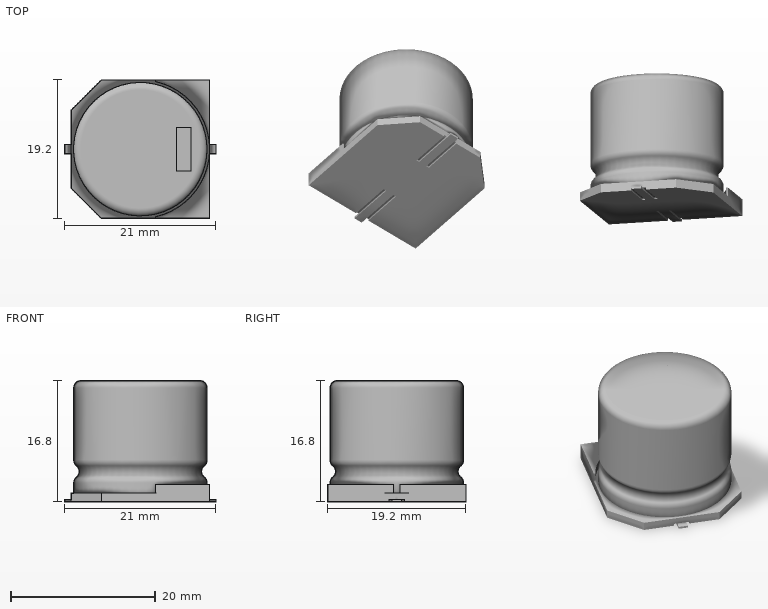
import cadquery as cq
import math


base_width = 19.2
base_half = base_width / 2
corner_cut = 4.2
floor_height = 1.2
wall_height = 2.4
wall_start_x = 2.13
wall_bore_radius = 9.61

total_height = 16.8
can_radius = 9.25
top_rounding = 1.0

groove_z = 4.2
groove_depth = 0.75
groove_arc_radius = 1.0
groove_half_height = math.sqrt(
    (2 * groove_arc_radius) ** 2 - (2 * groove_arc_radius - groove_depth) ** 2
)

mark_length_x = 2.0
mark_width_y = 6.0
mark_center_x = 6.01
mark_thickness = 0.1

lead_span = 21.0
lead_width = 1.3
lead_thickness = 0.3
channel_width = 2.2
channel_length = 6.0
channel_inner_x = base_half - channel_length
lead_length = lead_span / 2 - channel_inner_x


def make_base():
    """Square base with two cut corners, raised wall wedges beside the can and lead channels."""
    block = (
        cq.Workplane("XY")
        .rect(base_width, base_width)
        .extrude(wall_height)
        .edges("|Z and <X")
        .chamfer(corner_cut)
    )
    lowered_length = base_half + wall_start_x
    lowered_side = (
        cq.Workplane("XY", origin=(wall_start_x - lowered_length / 2, 0, floor_height))
        .rect(lowered_length, base_width)
        .extrude(wall_height - floor_height)
    )
    bore = (
        cq.Workplane("XY", origin=(0, 0, floor_height))
        .circle(wall_bore_radius)
        .extrude(wall_height - floor_height)
    )
    body = block.cut(lowered_side).cut(bore)
    channel_center_x = channel_inner_x + channel_length / 2
    for side in (-1, 1):
        channel = (
            cq.Workplane("XY", origin=(side * channel_center_x, 0, 0))
            .rect(channel_length, channel_width)
            .extrude(lead_thickness)
        )
        body = body.cut(channel)
    return body.solids()


def make_can():
    """Solid of revolution standing on the base floor, with a rounded top and a crimp groove."""
    join_radius = can_radius - groove_depth / 2
    join_offset = groove_half_height / 2
    half_turn = math.asin(groove_half_height / (2 * groove_arc_radius)) / 2
    bulge_radius = can_radius - groove_arc_radius * (1 - math.cos(half_turn))
    bulge_offset = groove_half_height - groove_arc_radius * math.sin(half_turn)
    profile = (
        cq.Workplane("XZ")
        .moveTo(0, floor_height)
        .lineTo(can_radius, floor_height)
        .lineTo(can_radius, groove_z - groove_half_height)
        .threePointArc((bulge_radius, groove_z - bulge_offset), (join_radius, groove_z - join_offset))
        .threePointArc((can_radius - groove_depth, groove_z), (join_radius, groove_z + join_offset))
        .threePointArc((bulge_radius, groove_z + bulge_offset), (can_radius, groove_z + groove_half_height))
        .lineTo(can_radius, total_height)
        .lineTo(0, total_height)
        .close()
    )
    return profile.revolve(360, (0, 0, 0), (0, 1, 0)).faces(">Z").edges().fillet(top_rounding)


def make_mark():
    """Rectangular polarity mark whose upper face is level with the top of the can."""
    return (
        cq.Workplane("XY", origin=(mark_center_x, 0, total_height - mark_thickness))
        .rect(mark_length_x, mark_width_y)
        .extrude(mark_thickness)
    )


def make_lead(side):
    """Flat lead reaching outward from the inner end of its channel; side is -1 or 1 along X."""
    return (
        cq.Workplane("XY", origin=(side * (lead_span - lead_length) / 2, 0, 0))
        .rect(lead_length, lead_width)
        .extrude(lead_thickness)
    )


base = make_base()
mark = make_mark()
can = make_can().cut(mark).solids()
leads = [make_lead(side).val() for side in (-1, 1)]

result = cq.Compound.makeCompound([base.val(), can.val(), mark.val(), *leads])